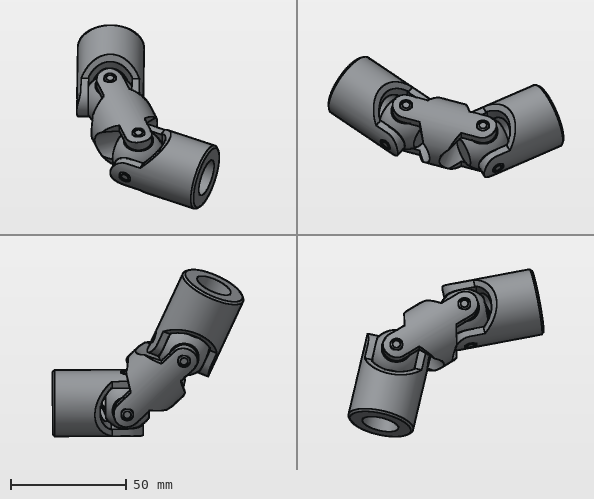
import cadquery as cq
import math

body_diameter = 29.0
body_radius = body_diameter / 2
pivot_spacing = 35.0
left_bend = 21.2
right_bend = 45.0

flat_distance = 9.5
ball_flat_radius = 6.5
ball_radius = math.hypot(flat_distance, ball_flat_radius)
pin_diameter = 5.3
pin_chamfer = 1.0
pin_reach = 14.4


yoke_length = 32.5
yoke_chamfer = 0.9
bore_diameter = 16.0
yoke_ear_half_width = 7.0
yoke_ear_side = 6.6
yoke_slope = 45.0
yoke_slot_radius = 11.8

centre_ear_half_width = 5.9
centre_ear_side = 8.0
centre_slope = 30.0
centre_slot_depth = 15.3
centre_slot_radius = 9.7

clearance = 5.1
tool_reach = body_radius + clearance


def fork_cut(ear_half_width, ear_side, slope, slot_depth, slot_radius):
    """Material removed to leave two ears around a pivot at the origin.

    The body lies along +X, the pin axis is Z and the ears end at -X.
    """
    slot_arc_start = slot_depth - slot_radius + math.sqrt(slot_radius**2 - flat_distance**2)
    slot = (
        cq.Workplane("XZ")
        .moveTo(-tool_reach, -flat_distance)
        .lineTo(slot_arc_start, -flat_distance)
        .threePointArc((slot_depth, 0), (slot_arc_start, flat_distance))
        .lineTo(-tool_reach, flat_distance)
        .close()
        .extrude(tool_reach, both=True)
    )
    ear_arc_middle = ear_half_width * math.sqrt(0.5)
    slope_end = ear_side + (tool_reach - ear_half_width) * math.tan(math.radians(slope))
    side = (
        cq.Workplane("XY")
        .moveTo(-tool_reach, 0)
        .lineTo(-ear_half_width, 0)
        .threePointArc((-ear_arc_middle, ear_arc_middle), (0, ear_half_width))
        .lineTo(ear_side, ear_half_width)
        .lineTo(slope_end, tool_reach)
        .lineTo(-tool_reach, tool_reach)
        .close()
        .extrude(tool_reach, both=True)
    )
    pin_hole = cq.Workplane("XY").circle(pin_diameter / 2).extrude(tool_reach, both=True)
    return slot.union(side).union(side.mirror("XZ")).union(pin_hole)


def end_yoke():
    """Bored hub along +X with its fork around the origin and its pin axis along Z."""
    blank = (
        cq.Workplane("YZ")
        .workplane(offset=-yoke_ear_half_width)
        .circle(body_radius)
        .extrude(yoke_ear_half_width + yoke_length)
        .faces(">X")
        .chamfer(yoke_chamfer)
    )
    bore = cq.Workplane("YZ").circle(bore_diameter / 2).extrude(yoke_length)
    fork = fork_cut(
        yoke_ear_half_width, yoke_ear_side, yoke_slope, yoke_slot_radius, yoke_slot_radius
    )
    return blank.cut(bore).cut(fork)


def centre_yoke():
    """Solid double fork along X with both pin axes along Z."""
    half_length = pivot_spacing / 2 + centre_ear_half_width
    blank = cq.Workplane("YZ").circle(body_radius).extrude(half_length, both=True)
    fork = fork_cut(
        centre_ear_half_width,
        centre_ear_side,
        centre_slope,
        centre_slot_depth,
        centre_slot_radius,
    ).translate((-pivot_spacing / 2, 0, 0))
    return blank.cut(fork).cut(fork.mirror("YZ"))


def cross():
    """Ball with six flats and chamfered pins along Y and Z."""
    flats = cq.Workplane("XY").box(2 * flat_distance, 2 * flat_distance, 2 * flat_distance)
    spider = cq.Workplane("XY").sphere(ball_radius).intersect(flats)
    for plane in ("XY", "XZ"):
        pin = (
            cq.Workplane(plane)
            .circle(pin_diameter / 2)
            .extrude(pin_reach, both=True)
            .edges("%CIRCLE")
            .chamfer(pin_chamfer)
        )
        spider = spider.union(pin)
    return spider


def place_at_pivot(body, pivot_x, heading):
    """Turn a body lying along +X to a heading about Z and move it to its pivot."""
    return body.rotate((0, 0, 0), (0, 0, 1), heading).translate((pivot_x, 0, 0))


left_pivot = (-pivot_spacing / 2, 180 - left_bend)
right_pivot = (pivot_spacing / 2, right_bend)

bodies = [centre_yoke().val()]
for pivot_x, heading in (left_pivot, right_pivot):
    yoke = end_yoke().rotate((0, 0, 0), (1, 0, 0), 90)
    bodies.append(place_at_pivot(yoke, pivot_x, heading).val())
    bodies.append(place_at_pivot(cross(), pivot_x, heading).val())

result = cq.Compound.makeCompound(bodies)